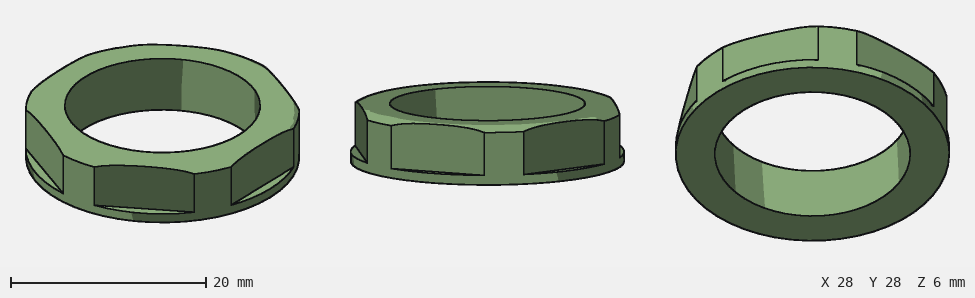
import cadquery as cq

outer_diameter = 28.0
bore_diameter = 20.0
height = 6.0
flange_height = 1.0
across_flats = 26.0
flat_count = 6
top_face_diameter = 25.0
crown_drop = 0.53

outer_radius = outer_diameter / 2
bore_radius = bore_diameter / 2
top_face_radius = top_face_diameter / 2


def make_ring():
    """Revolved ring with a shallow arc, tangent to the top face, rounding its top edge."""
    return (
        cq.Workplane("XZ")
        .moveTo(outer_radius, height - crown_drop)
        .lineTo(outer_radius, 0)
        .lineTo(bore_radius, 0)
        .lineTo(bore_radius, height)
        .lineTo(top_face_radius, height)
        .tangentArcPoint((outer_radius, height - crown_drop), relative=False)
        .close()
        .revolve(360, (0, 0, 0), (0, 1, 0))
    )


def make_flat_cutter(angle):
    """Block that removes everything outside one wrench flat, above the flange."""
    return (
        cq.Workplane("XY")
        .box(outer_radius, outer_diameter, height, centered=(False, True, False))
        .translate((across_flats / 2, 0, flange_height))
        .rotate((0, 0, 0), (0, 0, 1), angle)
    )


result = make_ring()

for index in range(flat_count):
    result = result.cut(make_flat_cutter(index * 360 / flat_count))